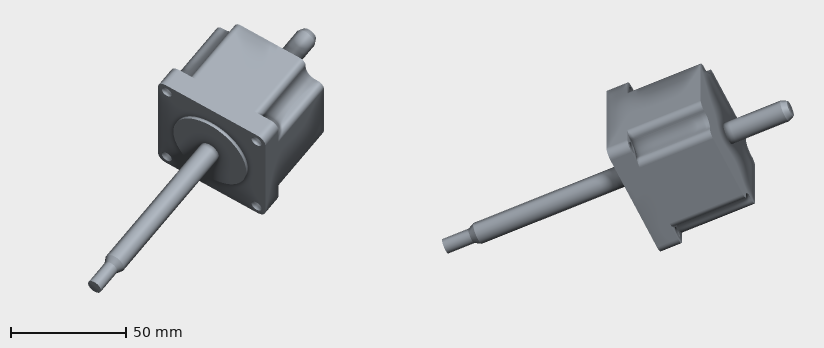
import cadquery as cq


width = 56.5
body_end = 45.0
flange_thickness = 10.0
flange_corner_radius = 4.1
pilot_diameter = 38.3
pilot_height = 1.5
hole_diameter = 5.3
hole_spacing = 47.2

face_half_width = 15.5
lip_radius = 3.1
scoop_radius = 5.3

overall_length = 165.1
shaft_diameter = 9.7
rear_extension = 29.9
rear_chamfer_length = 2.6
rear_end_diameter = 7.3
tip_diameter = 6.8
tip_length = 12.5
tip_taper_length = 3.0


def make_flange():
    """Rounded square plate with four through holes."""
    plate = cq.Workplane("XZ").rect(width, width).extrude(-flange_thickness)
    plate = plate.edges("|Y").fillet(flange_corner_radius)
    holes = (
        cq.Workplane("XZ")
        .rect(hole_spacing, hole_spacing, forConstruction=True)
        .vertices()
        .circle(hole_diameter / 2)
        .extrude(-flange_thickness)
    )
    return plate.cut(holes)


def make_corner_cutter():
    """Prism removed at the +X +Z corner: a concave scoop between two convex lips."""
    half = width / 2
    wall = face_half_width + lip_radius
    lip_end = half - lip_radius
    scoop_center = wall + scoop_radius
    return (
        cq.Workplane("XZ", origin=(0, flange_thickness, 0))
        .moveTo(face_half_width, half)
        .radiusArc((wall, lip_end), lip_radius)
        .lineTo(wall, scoop_center)
        .radiusArc((scoop_center, wall), -scoop_radius)
        .lineTo(lip_end, wall)
        .radiusArc((half, face_half_width), lip_radius)
        .lineTo(half, half)
        .close()
        .extrude(flange_thickness - body_end)
    )


def make_body():
    """Square block behind the flange with all four corners scooped."""
    body = (
        cq.Workplane("XZ", origin=(0, flange_thickness, 0))
        .rect(width, width)
        .extrude(flange_thickness - body_end)
    )
    cutter = make_corner_cutter()
    for angle in (0, 90, 180, 270):
        body = body.cut(cutter.rotate((0, 0, 0), (0, 1, 0), angle))
    return body


def make_shaft():
    """Turned shaft with a tapered step to the front tip and a chamfered rear end."""
    rear_y = body_end + rear_extension
    front_y = rear_y - overall_length
    step_y = front_y + tip_length
    radius = shaft_diameter / 2
    tip_radius = tip_diameter / 2
    return (
        cq.Workplane("XY")
        .moveTo(0, front_y)
        .lineTo(tip_radius, front_y)
        .lineTo(tip_radius, step_y)
        .lineTo(radius, step_y + tip_taper_length)
        .lineTo(radius, rear_y - rear_chamfer_length)
        .lineTo(rear_end_diameter / 2, rear_y)
        .lineTo(0, rear_y)
        .close()
        .revolve(360, (0, 0, 0), (0, 1, 0))
    )


pilot = cq.Workplane("XZ").circle(pilot_diameter / 2).extrude(pilot_height)
result = make_flange().union(make_body()).union(pilot).union(make_shaft())